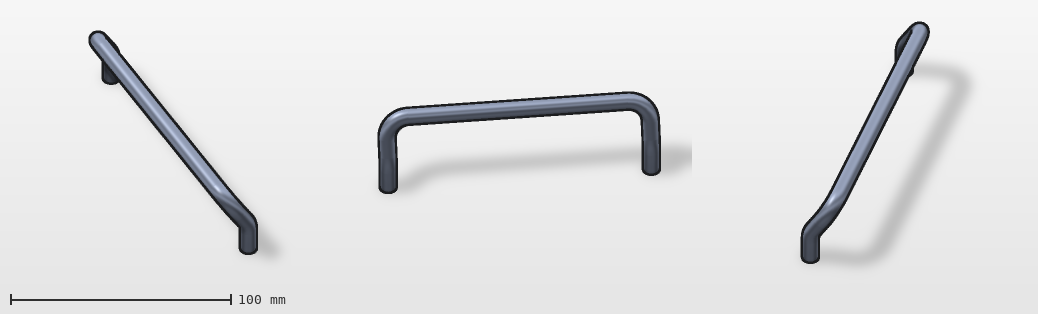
import cadquery as cq
import math

length = 128.0
height = 40.0

rod_diameter = 8.0
leg_length = 12.8
lean_angle = math.radians(27)
lean_radius = 14.3
corner_radius = 10.0

rod_radius = rod_diameter / 2
half_span = length / 2 - rod_radius
grip_z = height - rod_radius
lean_end_z = leg_length + lean_radius * math.sin(lean_angle)
slope_length = (grip_z - lean_end_z) / math.cos(lean_angle)
leaning_straight = slope_length - corner_radius


def lean_bend_point(angle):
    """Y and Z on the lean bend after turning by the given angle."""
    y = -lean_radius * (1 - math.cos(angle))
    z = leg_length + lean_radius * math.sin(angle)
    return y, z


def leaning_point(x, distance):
    """Point in the leaning plane, a distance up the slope from the lean bend."""
    y, z = lean_bend_point(lean_angle)
    return cq.Vector(x, y - distance * math.sin(lean_angle), z + distance * math.cos(lean_angle))


def leg_edges(side):
    """Centreline of one leg, from its foot to the grip; side is -1 or +1."""
    x = side * half_span
    foot = cq.Vector(x, 0, 0)
    bend_start = cq.Vector(x, 0, leg_length)
    bend_middle = cq.Vector(x, *lean_bend_point(lean_angle / 2))
    bend_end = leaning_point(x, 0)

    corner_inset = corner_radius * (1 - math.cos(math.pi / 4))
    corner_start = leaning_point(x, leaning_straight)
    corner_middle = leaning_point(x - side * corner_inset, slope_length - corner_inset)
    corner_end = leaning_point(x - side * corner_radius, slope_length)

    return [
        cq.Edge.makeLine(foot, bend_start),
        cq.Edge.makeThreePointArc(bend_start, bend_middle, bend_end),
        cq.Edge.makeLine(bend_end, corner_start),
        cq.Edge.makeThreePointArc(corner_start, corner_middle, corner_end),
    ]


grip_half_length = half_span - corner_radius
grip = cq.Edge.makeLine(
    leaning_point(-grip_half_length, slope_length),
    leaning_point(grip_half_length, slope_length),
)

path = cq.Wire.assembleEdges(leg_edges(-1) + [grip] + leg_edges(1)[::-1])
result = (
    cq.Workplane("XY")
    .center(-half_span, 0)
    .circle(rod_radius)
    .sweep(cq.Workplane(obj=path))
)